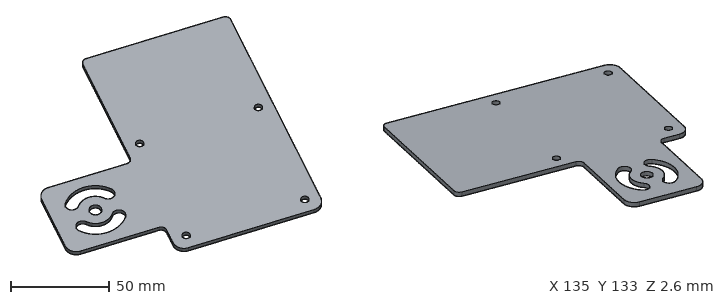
import cadquery as cq
import math

thickness = 2.6
plate_length = 135.0
tab_width = 45.0
tab_length = 52.0

mount_spacing = 65.0
mount_inset = 8.0
mount_diameter = 4.2
plate_width = mount_spacing + 2 * mount_inset

left_corner_radius = 3.0
right_corner_radius = 6.0
tab_corner_radius = 6.0
inner_corner_radius = 3.0

pivot_diameter = 6.5
pivot_from_tab_end = 23.0
slot_mean_radius = 12.5
slot_width = 7.0
slot_half_angle = 52.5

tab_center_x = plate_length - mount_inset - mount_spacing / 2
pivot_y = pivot_from_tab_end - tab_length


def make_plate():
    """Rectangular plate with rounded corners."""
    plate = cq.Workplane("XY").box(plate_length, plate_width, thickness, centered=False)
    plate = plate.edges("|Z and <X").fillet(left_corner_radius)
    return plate.edges("|Z and >X").fillet(right_corner_radius)


def add_tab(plate):
    """Tab below the plate, with rounded free corners and blended inner corners."""
    tab = (
        cq.Workplane("XY")
        .box(tab_width, tab_length, thickness, centered=(True, False, False))
        .edges("|Z and <Y")
        .fillet(tab_corner_radius)
        .translate((tab_center_x, -tab_length, 0))
    )
    body = plate.union(tab)
    for side in (-1, 1):
        inner_corner = (tab_center_x + side * tab_width / 2, 0, thickness / 2)
        body = body.edges(cq.selectors.NearestToPointSelector(inner_corner)).fillet(inner_corner_radius)
    return body


def make_mount_holes():
    """Cutters for the four mounting holes."""
    return (
        cq.Workplane("XY")
        .center(tab_center_x, plate_width / 2)
        .rect(mount_spacing, mount_spacing, forConstruction=True)
        .vertices()
        .circle(mount_diameter / 2)
        .extrude(thickness)
    )


def make_pivot_hole():
    """Cutter for the pivot hole in the tab."""
    return cq.Workplane("XY").center(tab_center_x, pivot_y).circle(pivot_diameter / 2).extrude(thickness)


def make_curved_slot(side):
    """Cutter for one round-ended slot; side is -1 for the left slot and 1 for the right one."""
    half_angle = math.radians(slot_half_angle)
    inner_radius = slot_mean_radius - slot_width / 2
    outer_radius = slot_mean_radius + slot_width / 2
    tip_radius = math.hypot(slot_mean_radius, slot_width / 2)
    tip_angle = half_angle + math.atan2(slot_width / 2, slot_mean_radius)

    def at(radius, angle):
        return (side * radius * math.cos(angle), radius * math.sin(angle))

    return (
        cq.Workplane("XY")
        .center(tab_center_x, pivot_y)
        .moveTo(*at(outer_radius, -half_angle))
        .threePointArc(at(outer_radius, 0), at(outer_radius, half_angle))
        .threePointArc(at(tip_radius, tip_angle), at(inner_radius, half_angle))
        .threePointArc(at(inner_radius, 0), at(inner_radius, -half_angle))
        .threePointArc(at(tip_radius, -tip_angle), at(outer_radius, -half_angle))
        .close()
        .extrude(thickness)
    )


result = add_tab(make_plate())
result = result.cut(make_mount_holes()).cut(make_pivot_hole())
for slot_side in (-1, 1):
    result = result.cut(make_curved_slot(slot_side))